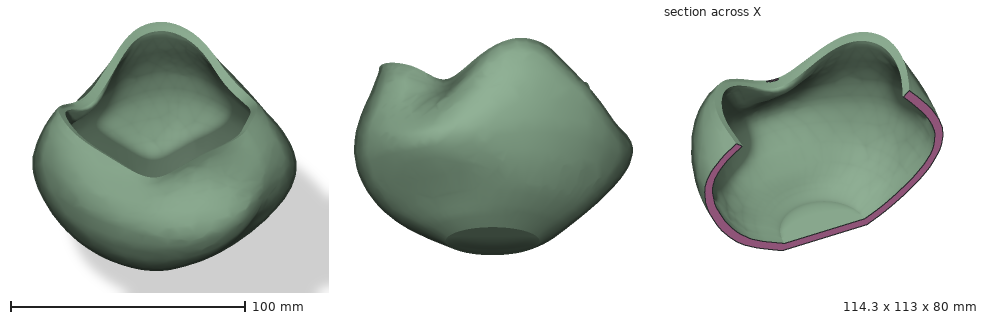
import cadquery as cq
import math

shapes = cq.occ_impl.shapes

WALL = 4.0
BASE_RADIUS = 20.0
FLOOR_RADIUS = 18.9
FOOT_RADIUS = 25.2
FOOT_HEIGHT = 2.6
FOOT_TILT = 65
SEW_TOLERANCE = 0.01

START = -4

LOW = [
    (START, 40.6, 17.2),
    (55, 41.7, 16.0),
    (120, 45.2, 14.3),
    (185, 41.7, 16.0),
    (237, 44.0, 15.4),
    (301, 43.5, 15.4),
]
BELLY = [
    (START, 54.3, 42.3),
    (25, 56.3, 38.9),
    (55, 55.5, 32.0),
    (90, 55.8, 36.6),
    (120, 59.5, 40.0),
    (150, 56.0, 37.7),
    (185, 57.2, 32.0),
    (237, 56.0, 40.0),
    (275, 56.2, 41.2),
    (301, 56.7, 40.0),
    (325, 61.4, 43.5),
    (342, 58.7, 44.6),
]
SHOULDER = [
    (START, 57.3, 58.9),
    (25, 53.2, 57.2),
    (55, 49.2, 49.2),
    (90, 50.9, 53.8),
    (120, 55.5, 59.5),
    (155, 50.9, 54.9),
    (190, 46.9, 48.0),
    (212, 52.6, 53.8),
    (237, 56.0, 58.3),
    (270, 54.3, 56.0),
    (301, 51.5, 52.0),
    (328, 53.8, 57.2),
]
RIM = [
    (START, 45.0, 80.0),
    (25, 40.0, 73.7),
    (55, 38.9, 64.6),
    (82, 38.3, 66.9),
    (105, 44.8, 73.5),
    (124, 48.6, 77.5),
    (138, 46.5, 77.3),
    (158, 38.9, 72.5),
    (193, 38.9, 62.3),
    (215, 44.4, 70.7),
    (232, 46.9, 76.4),
    (250, 46.0, 75.0),
    (273, 41.2, 68.3),
    (301, 42.0, 64.5),
    (320, 41.7, 72.0),
]

LEVELS = [(LOW, 48), (BELLY, 0), (SHOULDER, -20), (RIM, -40)]


def level_curve(level, normal_tilt, thickness):
    """Closed curve around the wall, moved inward along the wall normal by thickness."""
    tilt = math.radians(normal_tilt)
    points = []
    for direction, outer_radius, outer_height in level:
        radius = outer_radius - thickness * math.cos(tilt)
        height = outer_height + thickness * math.sin(tilt)
        angle = math.radians(direction)
        points.append(cq.Vector(radius * math.cos(angle), radius * math.sin(angle), height))
    turns = [(direction - START) / 360 for direction, _, _ in level] + [1.0]
    return cq.Edge.makeSpline(points, periodic=True, parameters=turns)


def horizontal_circle(radius, height):
    """Circle around the Z axis that begins in the start direction."""
    circle = cq.Edge.makeCircle(radius, cq.Vector(0, 0, height))
    return circle.rotate(cq.Vector(0, 0, 0), cq.Vector(0, 0, 1), START)


def bowl_skin(bottom_radius, bottom_height, thickness):
    """Faces from the flat bottom up to the rim, and the rim curve they end on."""
    tilt = math.radians(FOOT_TILT)
    bottom = horizontal_circle(bottom_radius, bottom_height)
    foot = horizontal_circle(
        FOOT_RADIUS - thickness * math.cos(tilt),
        FOOT_HEIGHT + thickness * math.sin(tilt),
    )
    curves = [level_curve(level, normal_tilt, thickness) for level, normal_tilt in LEVELS]
    sections = [cq.Wire.assembleEdges([edge]) for edge in [bottom, foot] + curves]
    side = shapes.loft(*sections, parametrization="chordal")
    disc = cq.Face.makeFromWires(sections[0])
    return [*side.Faces(), disc], curves[-1]


outer_faces, outer_rim = bowl_skin(BASE_RADIUS, 0, 0)
inner_faces, inner_rim = bowl_skin(FLOOR_RADIUS, WALL, WALL)
rim_face = cq.Face.makeRuledSurface(outer_rim, inner_rim)

result = cq.Workplane(shapes.solid(*outer_faces, *inner_faces, rim_face, tol=SEW_TOLERANCE))